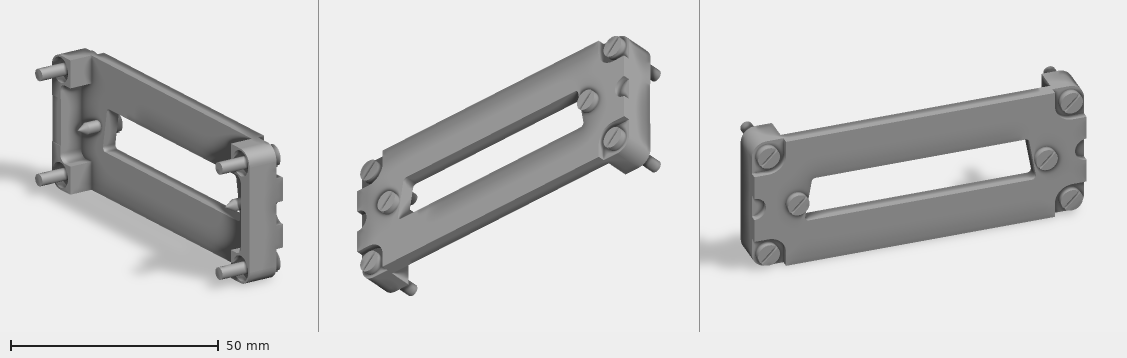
import cadquery as cq
import math

length = 85.0
height = 34.5
total_depth = 17.75
plate_thickness = 3.6
frame_depth = 9.7
end_wall = 3.65
block_width = 8.0
block_height = 7.2
wall_fillet = 2.0

screw_inset = 3.75
screw_x = length / 2 - screw_inset
screw_z = height / 2 - screw_inset
screw_diameter = 3.1
screw_reach = 16.0
screw_head_diameter = 5.6
clearance_diameter = 6.5
clearance_depth = 2.2
corner_radius = screw_inset

recess_depth = 1.85
recess_width = 8.1
recess_height = 8.25
recess_radius = recess_height - screw_inset
notch_radius = 2.95

pin_x = 31.75
pin_diameter = 3.0
pin_shoulder = 7.0
pin_tip = 9.5
pin_head_diameter = 5.5
pin_head_height = total_depth - screw_reach

slot_width = 0.7
slot_depth = 0.9
slot_angle = 45.0

opening_height = 11.5
opening_mid_width = 57.4
opening_side_angle = 10.0
opening_radius = 1.0

label_height = 12.0
label_depth = 0.15

SIDES = (-1, 1)
CORNERS = [(side_x, side_z) for side_x in SIDES for side_z in SIDES]


def section(y):
    """Workplane in X-Z at depth y, extruding toward -Y."""
    return cq.Workplane("XZ", origin=(0, y, 0))


def bar(x0, x1, z0, z1, y_back, y_front):
    """Box between two X, Z and Y positions."""
    profile = section(y_back).center((x0 + x1) / 2, (z0 + z1) / 2).rect(abs(x1 - x0), abs(z1 - z0))
    return profile.extrude(y_back - y_front)


def rod(x, z, diameter, y_back, y_front):
    """Cylinder along Y."""
    return section(y_back).center(x, z).circle(diameter / 2).extrude(y_back - y_front)


def frame_body():
    """Rounded plate with raised end walls and corner blocks."""
    body = section(0).rect(length, height).extrude(frame_depth).edges("|Y").fillet(corner_radius)
    between_walls = bar(
        -length / 2 + end_wall, length / 2 - end_wall,
        -height / 2 + block_height, height / 2 - block_height,
        -plate_thickness, -frame_depth,
    ).edges("|Y").fillet(wall_fillet)
    between_blocks = bar(
        -length / 2 + block_width, length / 2 - block_width,
        -height / 2, height / 2,
        -plate_thickness, -frame_depth,
    )
    return body.cut(between_walls).cut(between_blocks)


def connector_opening():
    """Trapezoid with rounded corners, wider at the bottom."""
    half_height = opening_height / 2
    taper = half_height * math.tan(math.radians(opening_side_angle))
    top_x = opening_mid_width / 2 - taper
    bottom_x = opening_mid_width / 2 + taper
    outline = section(0).polyline([
        (-top_x, half_height),
        (top_x, half_height),
        (bottom_x, -half_height),
        (-bottom_x, -half_height),
    ]).close()
    return outline.extrude(plate_thickness).edges("|Y").fillet(opening_radius)


def corner_recess(side_x, side_z):
    """Recess under a screw head, open to both outer sides, with a rounded inner corner."""
    inner_x = side_x * (length / 2 - recess_width)
    inner_z = side_z * (height / 2 - recess_height)
    recess = bar(inner_x, side_x * length / 2, inner_z, side_z * height / 2, 0, -recess_depth)
    inner_edge = cq.selectors.NearestToPointSelector((inner_x, -recess_depth / 2, inner_z))
    return recess.edges(inner_edge).fillet(recess_radius)


def driver_slot(x, z, y_top):
    """Diagonal slot cutter for a head whose flat end is at y_top."""
    slot = section(y_top).center(x, z).rect(2 * screw_head_diameter, slot_width).extrude(slot_depth)
    return slot.rotate((x, 0, z), (x, 1, z), slot_angle)


def captive_screw(x, z):
    """Slotted screw with its head flush with the plate's back face."""
    head = rod(x, z, screw_head_diameter, 0, -recess_depth).cut(driver_slot(x, z, 0))
    return head.union(rod(x, z, screw_diameter, -recess_depth, -screw_reach))


def pointed_pin(x):
    """Slotted pin whose head stands on the back face and whose cone points to -Y."""
    head = rod(x, 0, pin_head_diameter, pin_head_height, 0).cut(driver_slot(x, 0, pin_head_height))
    radius = pin_diameter / 2
    half_profile = cq.Workplane("XY", origin=(x, 0, 0)).polyline([
        (0, 0),
        (radius, 0),
        (radius, -pin_shoulder),
        (0, -pin_tip),
    ]).close()
    return head.union(half_profile.revolve(360, (0, 0, 0), (0, 1, 0)))


result = frame_body().cut(connector_opening())

for side_x, side_z in CORNERS:
    x = side_x * screw_x
    z = side_z * screw_z
    clearance = rod(x, z, clearance_diameter, -frame_depth + clearance_depth, -frame_depth)
    result = result.cut(corner_recess(side_x, side_z)).cut(clearance)
    result = result.union(captive_screw(x, z))

for side_x in SIDES:
    result = result.cut(rod(side_x * length / 2, 0, 2 * notch_radius, 0, -recess_depth))
    result = result.union(pointed_pin(side_x * pin_x))

label_pocket = bar(
    -length / 2, -length / 2 + end_wall,
    -label_height / 2, label_height / 2,
    -frame_depth + label_depth, -frame_depth,
)
result = result.cut(label_pocket)